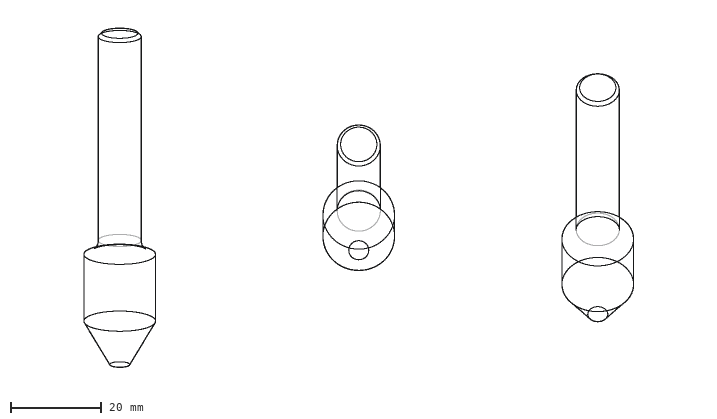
import cadquery as cq

total_length = 76.2
shank_diameter = 9.5
head_diameter = 15.85
shoulder_height = 25.4
tip_length = 10.0
tip_end_diameter = 4.4
end_chamfer = 0.8

shank_radius = shank_diameter / 2
head_radius = head_diameter / 2
tip_end_radius = tip_end_diameter / 2
fillet_radius = head_radius - shank_radius


def make_holder():
    """Cylindrical head that sweeps up through a concave fillet into a chamfered shank."""
    profile = (
        cq.Workplane("XZ")
        .moveTo(0, tip_length)
        .lineTo(head_radius, tip_length)
        .lineTo(head_radius, shoulder_height)
        .radiusArc((shank_radius, shoulder_height + fillet_radius), fillet_radius)
        .lineTo(shank_radius, total_length - end_chamfer)
        .lineTo(shank_radius - end_chamfer, total_length)
        .lineTo(0, total_length)
        .close()
    )
    return profile.revolve(360, (0, 0), (0, 1))


def make_tip():
    """Truncated cone that sits flush against the underside of the head."""
    profile = (
        cq.Workplane("YZ")
        .lineTo(tip_end_radius, 0)
        .lineTo(head_radius, tip_length)
        .lineTo(0, tip_length)
        .close()
    )
    return profile.revolve(360, (0, 0), (0, 1))


holder = make_holder()
tip = make_tip()

result = cq.Compound.makeCompound([holder.val(), tip.val()])